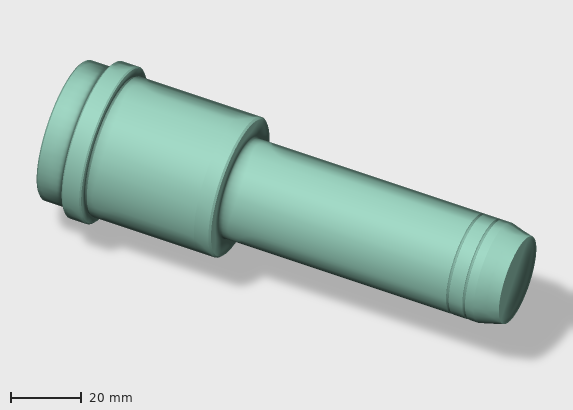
import cadquery as cq
import math

total_length = 140.0
head_radius = 42.0 / 2
flange_radius = 47.0 / 2
shank_radius = 30.0 / 2

flange_start = 9.0
flange_width = 6.0
flange_end = flange_start + flange_width
head_end = 54.0
lead_length = 5.0

edge_chamfer = 0.5
flange_chamfer = 0.4
shank_fillet = 0.4
front_relief_width = 1.1
rear_relief_width = 0.8
relief_depth = 0.4

taper_length = 7.0
taper_angle = 15.0
tip_radius = shank_radius - taper_length * math.tan(math.radians(taper_angle))
groove_starts = (124.5, 129.5)
groove_width = 0.8
groove_depth = groove_width / 2


def turned_body():
    """Revolve the half outline of the pillar about the X axis."""
    relief_radius = head_radius - relief_depth
    outline = (
        cq.Workplane("XY")
        .moveTo(0, 0)
        .lineTo(0, head_radius - edge_chamfer)
        .lineTo(edge_chamfer, head_radius)
        .lineTo(flange_start - front_relief_width, head_radius)
        .lineTo(flange_start, relief_radius)
        .lineTo(flange_start, flange_radius - flange_chamfer)
        .lineTo(flange_start + flange_chamfer, flange_radius)
        .lineTo(flange_end - flange_chamfer, flange_radius)
        .lineTo(flange_end, flange_radius - flange_chamfer)
        .lineTo(flange_end, relief_radius)
        .lineTo(flange_end + rear_relief_width, relief_radius)
        .lineTo(flange_end + rear_relief_width, head_radius)
        .lineTo(head_end - lead_length, head_radius)
        .lineTo(head_end - edge_chamfer, head_radius)
        .lineTo(head_end, head_radius - edge_chamfer)
        .lineTo(head_end, shank_radius + shank_fillet)
        .radiusArc((head_end + shank_fillet, shank_radius), -shank_fillet)
        .lineTo(total_length - taper_length, shank_radius)
        .lineTo(total_length, tip_radius)
        .lineTo(total_length, 0)
        .close()
    )
    return outline.revolve(360, (0, 0, 0), (1, 0, 0), clean=False)


def shank_groove(start):
    """Ring of half-round section that cuts a groove into the shank."""
    middle = start + groove_width / 2
    return (
        cq.Workplane("XY")
        .moveTo(start, shank_radius)
        .threePointArc((middle, shank_radius - groove_depth), (start + groove_width, shank_radius))
        .close()
        .revolve(360, (0, 0, 0), (1, 0, 0))
    )


result = turned_body()
for groove_start in groove_starts:
    result = result.cut(shank_groove(groove_start), clean=False)